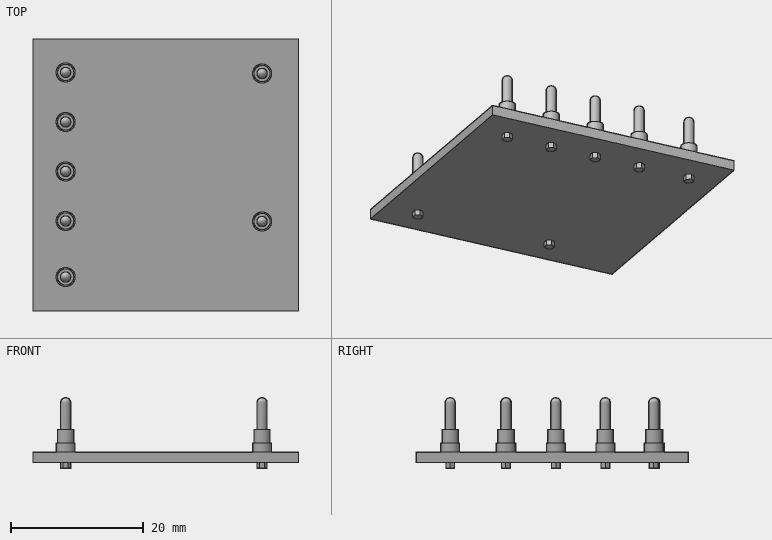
import cadquery as cq

plate_length_x = 40.0
plate_length_y = 41.0
plate_thickness = 1.6

left_column_x = 4.9
pitch = 7.45
pitched_pin_count = 4
first_pitched_y = 13.57
lone_pin_y = 5.12

right_column_x = 34.52
right_pin_ys = (13.5, 35.8)

collar_base_diameter = 2.85
collar_base_height = 1.35
collar_top_diameter = 2.45
collar_top_height = 2.05
shaft_diameter = 1.55
pin_height = 8.2
tail_corner_diameter = 1.55
tail_length = 0.85
tail_sides = 6


def make_plate():
    return cq.Workplane("XY").box(plate_length_x, plate_length_y, plate_thickness, centered=False)


def make_pin():
    """Pin on the Z axis; Z = 0 is the top of the plate."""
    shaft_radius = shaft_diameter / 2
    shoulder_height = collar_base_height + collar_top_height
    profile = (
        cq.Workplane("XZ")
        .lineTo(collar_base_diameter / 2, 0)
        .lineTo(collar_base_diameter / 2, collar_base_height)
        .lineTo(collar_top_diameter / 2, collar_base_height)
        .lineTo(collar_top_diameter / 2, shoulder_height)
        .lineTo(shaft_radius, shoulder_height)
        .lineTo(shaft_radius, pin_height - shaft_radius)
        .radiusArc((0, pin_height), -shaft_radius)
        .close()
    )
    upper = profile.revolve(360, (0, 0, 0), (0, 1, 0))
    tail = (
        cq.Workplane("XY")
        .polygon(tail_sides, tail_corner_diameter)
        .extrude(-plate_thickness - tail_length)
    )
    return upper.union(tail)


pitched_ys = [first_pitched_y + i * pitch for i in range(pitched_pin_count)]
pin_places = [(left_column_x, y) for y in [lone_pin_y] + pitched_ys]
pin_places += [(right_column_x, y) for y in right_pin_ys]

result = make_plate()
pin = make_pin()
for x, y in pin_places:
    result = result.union(pin.translate((x, y, plate_thickness)))